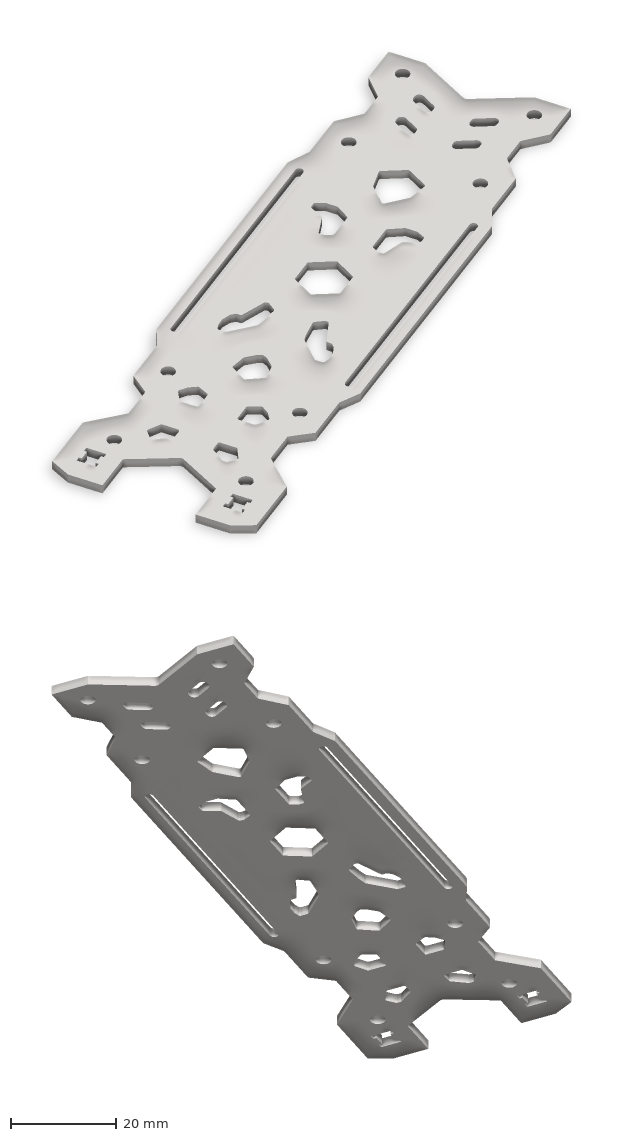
import cadquery as cq

thickness = 2.0
length = 141.0
width = 43.3
half_length = length / 2
half_width = width / 2
shoulder_x = 19.3
waist_x = 15.1

front_notch_x = 9.9
front_notch_apex_y = -56.4
front_notch_corner_y = -61.8
rear_notch_x = 11.5
rear_notch_apex_y = 64.2
notch_radius = 1.0

hole_diameter = 3.0
hole_x = 14.0
hole_pitch_y = 23.0
hole_rows = (-57.2, 42.7)

side_slot_x = 18.5
side_slot_width = 1.7
side_slot_end_y = (-23.1, 31.6)

slanted_slot_x = (4.0, 8.9)
slanted_slot_rise = 2.8
slanted_slot_height = 2.8
slanted_slot_pitch = 7.5
slanted_slot_y = 49.2
slanted_slot_radius = 1.0

hexagon_y = 4.1
hexagon_diameter = 11.1

tie_window_x = 15.5
tie_window_y = -63.9
tie_window_size = 4.2
tie_window_neck_width = 3.0
tie_window_neck_length = 2.3

rear_shield = [(0, 40.3), (5.0, 37.5), (4.0, 33.0), (0, 28.9)]
front_shield = [(0, -21.9), (1.0, -22.3), (3.0, -24.1), (3.7, -27.6), (0, -30.0)]
rear_wing = [
    (4.1, 22.4), (7.2, 24.4), (9.7, 24.4), (11.7, 23.4), (11.7, 22.0),
    (8.5, 20.3), (6.9, 15.7), (5.8, 15.7), (4.1, 16.5),
]
front_wing = [
    (4.1, -8.7), (6.0, -7.3), (6.8, -7.5), (9.0, -13.0), (10.2, -13.0), (11.0, -13.8), (11.7, -15.7),
    (11.7, -17.3), (11.3, -18.8), (9.5, -18.8), (5.0, -14.2), (4.5, -12.4),
]
pentagon_window = [(4.1, -37.1), (6.8, -35.8), (8.5, -37.0), (9.7, -38.6), (8.0, -41.3), (4.1, -41.3)]
leaf_window = [(4.1, -49.0), (8.0, -49.0), (9.7, -51.9), (8.2, -53.7), (7.2, -53.7), (4.1, -51.5)]
window_radius = 0.4


def mirrored(points):
    """Close a half outline, drawn from top to bottom on the +X side, across the Y axis."""
    return points + [(-x, y) for x, y in reversed(points) if x != 0]


def prism(points):
    """Extrude a closed outline through the plate thickness."""
    return cq.Workplane("XY").polyline(points).close().extrude(thickness)


def both_sides(cutter):
    """Add the mirror image on the -X side."""
    return cutter.union(cutter.mirror("YZ"))


def rounded_prism(points, radius):
    """Extrude an outline and round all its corners."""
    return prism(points).edges("|Z").fillet(radius)


def plate():
    right_half = [
        (0, rear_notch_apex_y),
        (rear_notch_x, half_length),
        (shoulder_x, half_length),
        (shoulder_x, 61.9),
        (waist_x, 57.5),
        (waist_x, 51.7),
        (shoulder_x, 47.1),
        (shoulder_x, 36.8),
        (half_width, 32.1),
        (half_width, -24.0),
        (shoulder_x, -28.2),
        (shoulder_x, -38.4),
        (waist_x, -41.7),
        (waist_x, -48.9),
        (half_width, -55.3),
        (half_width, -68.2),
        (17.2, -half_length),
        (front_notch_x, -half_length),
        (front_notch_x, front_notch_corner_y),
        (0, front_notch_apex_y),
    ]
    body = prism(mirrored(right_half))
    for apex_y in (rear_notch_apex_y, front_notch_apex_y):
        apex = cq.selectors.NearestToPointSelector((0, apex_y, thickness / 2))
        body = body.edges(apex).fillet(notch_radius)
    return body


def screw_holes():
    centres = [
        (side * hole_x, row_y + step)
        for side in (-1, 1)
        for row_y in hole_rows
        for step in (0, hole_pitch_y)
    ]
    return cq.Workplane("XY").pushPoints(centres).circle(hole_diameter / 2).extrude(thickness)


def side_slots():
    front_y, rear_y = side_slot_end_y
    middle_y = (front_y + rear_y) / 2
    return (
        cq.Workplane("XY")
        .pushPoints([(-side_slot_x, middle_y), (side_slot_x, middle_y)])
        .slot2D(rear_y - front_y, side_slot_width, 90)
        .extrude(thickness)
    )


def slanted_slots(lower_y):
    inner_x, outer_x = slanted_slot_x
    upper_y = lower_y + slanted_slot_height
    outline = [
        (inner_x, lower_y),
        (outer_x, lower_y + slanted_slot_rise),
        (outer_x, upper_y + slanted_slot_rise),
        (inner_x, upper_y),
    ]
    return both_sides(rounded_prism(outline, slanted_slot_radius))


def hexagon_window():
    return (
        cq.Workplane("XY")
        .center(0, hexagon_y)
        .transformed(rotate=(0, 0, 90))
        .polygon(6, hexagon_diameter)
        .extrude(thickness)
    )


def tie_windows():
    flange_length = (tie_window_size - tie_window_neck_length) / 2
    flange_offset = (tie_window_size - flange_length) / 2
    flanges = (
        cq.Workplane("XY")
        .pushPoints([(tie_window_x, tie_window_y + side * flange_offset) for side in (-1, 1)])
        .rect(tie_window_size, flange_length)
        .extrude(thickness)
    )
    neck = (
        cq.Workplane("XY")
        .center(tie_window_x, tie_window_y)
        .rect(tie_window_neck_width, tie_window_size)
        .extrude(thickness)
    )
    return both_sides(flanges.union(neck))


result = plate().cut(screw_holes()).cut(side_slots()).cut(hexagon_window()).cut(tie_windows())

for slot_y in (slanted_slot_y, slanted_slot_y + slanted_slot_pitch):
    result = result.cut(slanted_slots(slot_y))

for shield in (rear_shield, front_shield):
    result = result.cut(rounded_prism(mirrored(shield), window_radius))

for window in (rear_wing, front_wing, pentagon_window, leaf_window):
    result = result.cut(both_sides(rounded_prism(window, window_radius)))